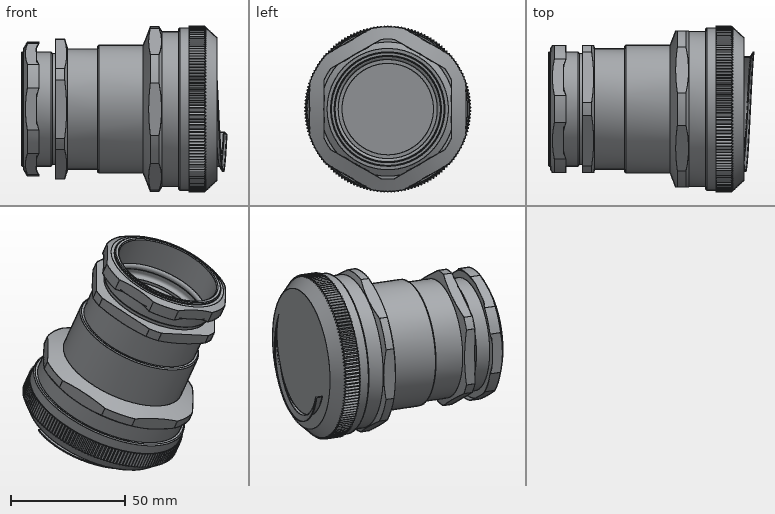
import cadquery as cq
import math


total_length = 89.8
front_nut_start, front_nut_end = 1.0, 7.6
front_nut_hollow = 1.1
groove_start = 12.8
lock_nut_start, lock_nut_end = 14.8, 20.0
sleeve_start = 33.2
shoulder_start, shoulder_end = 53.2, 61.3
collar_start = 68.6
knurl_start = 73.3
cap_cone_start, cap_end = 79.8, 85.5

spigot_radius = 50.0 / 2
spigot_tip_radius = 49.2 / 2
groove_radius = 48.6 / 2
neck_radius = 52.7 / 2
sleeve_radius = 55.95 / 2
barrel_radius = 67.8 / 2
collar_radius = 71.0 / 2
knurl_radius = 72.6 / 2
cap_end_radius = 31.1

small_across_flats = 55.6
front_nut_radius = 58.6 / 2
front_nut_face_radius = 53.0 / 2
lock_nut_radius = 61.2 / 2
shoulder_across_flats = 68.3
shoulder_radius = 36.0

edge_chamfer = 0.5
groove_chamfer = 0.6

bore_radius = 46.0 / 2
bore_depth = 18.9
mouth_chamfer = 0.45
bore_fillet = 1.35
bead_start, bead_end = 13.0, 15.7
bead_height = 1.35
recess_radius = 40.0 / 2
recess_depth = 20.1

knurl_teeth = 150

lip_tip_radius = 27.3
lip_wall_radius = 25.15
lip_wall = 0.45
lip_flare = 1.2
lip_wall_length = 4.5
lip_pitch = 8.4
lip_start_angle, lip_end_angle = -215.0, -24.0


def revolve_about_x(points):
    """Solid of revolution about X from (x, radius) points."""
    return cq.Workplane("XY").polyline(points).close().revolve(360, (0, 0, 0), (1, 0, 0))


def hex_section(across_flats, profile):
    """Hexagonal prism with flats facing +-Y, trimmed by the revolved profile."""
    across_corners = across_flats / math.cos(math.radians(30))
    prism = (
        cq.Workplane("YZ")
        .polygon(6, across_corners)
        .extrude(total_length)
        .rotate((0, 0, 0), (1, 0, 0), 30)
    )
    return prism.intersect(revolve_about_x(profile))


def round_body():
    """All plain turned diameters, up to the start of the knurl."""
    tip_chamfer = spigot_radius - spigot_tip_radius
    return revolve_about_x([
        (0, 0),
        (0, spigot_tip_radius),
        (tip_chamfer, spigot_radius),
        (groove_start, spigot_radius),
        (groove_start + groove_chamfer, groove_radius),
        (lock_nut_start, groove_radius),
        (lock_nut_start, neck_radius),
        (sleeve_start, neck_radius),
        (sleeve_start, sleeve_radius - edge_chamfer),
        (sleeve_start + edge_chamfer, sleeve_radius),
        (shoulder_end, sleeve_radius),
        (shoulder_end, barrel_radius),
        (collar_start, barrel_radius),
        (collar_start, collar_radius - edge_chamfer),
        (collar_start + edge_chamfer, collar_radius),
        (knurl_start, collar_radius),
        (knurl_start, 0),
    ])


def front_nut():
    """Hex nut with a chamfered front and a 45 degree hollow in its back face."""
    chamfer_length = (front_nut_radius - front_nut_face_radius) * math.tan(math.radians(30))
    hollow_x = front_nut_end - front_nut_hollow
    return hex_section(small_across_flats, [
        (front_nut_start, 0),
        (front_nut_start, front_nut_face_radius),
        (front_nut_start + chamfer_length, front_nut_radius),
        (front_nut_end, front_nut_radius),
        (hollow_x, front_nut_radius - front_nut_hollow),
        (hollow_x, 0),
    ])


def lock_nut():
    """Hex nut with a plain front and a chamfered back."""
    chamfer_length = 1.2
    back_radius = 26.9
    return hex_section(small_across_flats, [
        (lock_nut_start, 0),
        (lock_nut_start, lock_nut_radius),
        (lock_nut_end - chamfer_length, lock_nut_radius),
        (lock_nut_end, back_radius),
        (lock_nut_end, 0),
    ])


def shoulder():
    """Large hexagon that flares from the sleeve in a long cone."""
    cone_length = 3.1
    back_chamfer = 1.3
    return hex_section(shoulder_across_flats, [
        (shoulder_start, 0),
        (shoulder_start, sleeve_radius),
        (shoulder_start + cone_length, shoulder_radius),
        (shoulder_end - back_chamfer, shoulder_radius),
        (shoulder_end, barrel_radius),
        (shoulder_end, 0),
    ])


def knurled_cap():
    """Straight V-knurl that runs out on the cone of the cap."""
    step = math.pi / knurl_teeth
    outline = []
    for index in range(2 * knurl_teeth):
        radius = knurl_radius if index % 2 else collar_radius
        outline.append((radius * math.cos(index * step), radius * math.sin(index * step)))
    gear = (
        cq.Workplane("YZ", origin=(knurl_start, 0, 0))
        .polyline(outline)
        .close()
        .extrude(cap_end - knurl_start)
    )
    envelope = revolve_about_x([
        (knurl_start, 0),
        (knurl_start, knurl_radius),
        (cap_cone_start, knurl_radius),
        (cap_end, cap_end_radius),
        (cap_end, 0),
    ])
    return gear.intersect(envelope)


def climbing_lip():
    """Thin flared wall that rises out of the cap face along a helix about X."""
    sweep_angle = lip_end_angle - lip_start_angle
    rise = lip_pitch * sweep_angle / 360
    path = cq.Workplane(cq.Wire.makeHelix(lip_pitch, rise, lip_tip_radius))
    section = [
        (lip_tip_radius, 0),
        (lip_tip_radius, -lip_wall),
        (lip_wall_radius, -lip_flare - lip_wall),
        (lip_wall_radius, -lip_flare - lip_wall_length),
        (lip_wall_radius - lip_wall, -lip_flare - lip_wall_length),
        (lip_wall_radius - lip_wall, -lip_flare),
    ]
    lip = cq.Workplane("XZ").polyline(section).close().sweep(path, isFrenet=True)
    return (
        lip.rotate((0, 0, 0), (0, 0, 1), lip_start_angle)
        .rotate((0, 0, 0), (1, 1, 1), 120)
        .translate((total_length - rise, 0, 0))
    )


def bore():
    """Blind bore with a rounded internal bead and a shallow recess in its floor."""
    bead_middle = (bead_start + bead_end) / 2
    fillet_middle = bore_fillet * math.sin(math.radians(45))
    return (
        cq.Workplane("XY")
        .moveTo(0, 0)
        .lineTo(0, bore_radius + mouth_chamfer)
        .lineTo(mouth_chamfer, bore_radius)
        .lineTo(bead_start, bore_radius)
        .threePointArc((bead_middle, bore_radius - bead_height), (bead_end, bore_radius))
        .lineTo(bore_depth - bore_fillet, bore_radius)
        .threePointArc(
            (bore_depth - bore_fillet + fillet_middle, bore_radius - bore_fillet + fillet_middle),
            (bore_depth, bore_radius - bore_fillet),
        )
        .lineTo(bore_depth, recess_radius)
        .lineTo(recess_depth, recess_radius)
        .lineTo(recess_depth, 0)
        .close()
        .revolve(360, (0, 0, 0), (1, 0, 0))
    )


result = (
    round_body()
    .union(front_nut())
    .union(lock_nut())
    .union(shoulder())
    .union(knurled_cap())
    .union(climbing_lip())
    .cut(bore())
)